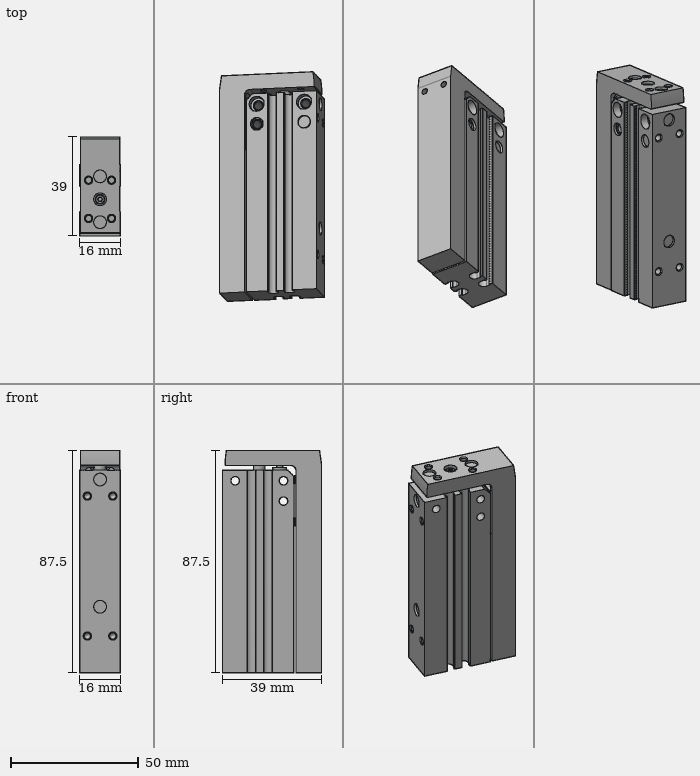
import cadquery as cq
import math


housing_width = 16.0
housing_depth = 28.1
housing_height = 79.7
housing_top_chamfer = 2.4
table_width = 15.5
table_back = 39.0
table_height = 87.5

table_inner_face = 28.9
arm_thickness = 6.0
arm_underside = table_height - arm_thickness
arm_front = 1.0
arm_front_setback = 0.5
arm_edge_chamfer = 0.25
back_bevel_depth = 0.8
back_bevel_height = 5.5
inner_fillet = 2.2
guide_pocket_width = 12.7
guide_pocket_depth = 2.1
guide_pocket_top = 80.8
guide_pocket_chamfer = 2.0
through_hole_x = 4.5
through_hole_diameter = 2.46
through_hole_z = 79.35

tapped_diameter = 2.46
tapped_mouth_diameter = 3.24
tapped_depth = 5.0
drill_point_angle = 118.0
housing_tapped_x = 5.0
housing_tapped_z = (14.5, 69.5)
arm_tapped_x = 4.5
arm_tapped_y = (7.0, 22.0)

recess_diameter = 5.0
recess_depth = 1.0
housing_recess_z = (26.0, 76.0)
arm_recess_y = (5.5, 23.5)

rod_y = 14.5
rod_diameter = 4.6
screw_counterbore_depth = 1.5
screw_head_diameter = 3.8
screw_head_height = 0.7
screw_head_chamfer = 0.25
socket_corner_diameter = 2.01
socket_depth = 0.5
socket_pilot_diameter = 1.57
socket_pilot_depth = 0.3
stopper_y = 22.5
stopper_diameter = 5.5
stopper_height = 1.1
stopper_neck_diameter = 2.46

rear_hole_y = 24.0
front_hole_y = 5.0
upper_hole_z = 75.5
lower_hole_z = 67.5
counterbore_diameter = 6.0
counterbore_depth = 3.3
port_depth = 1.0
side_hole_diameter = 3.24
side_hole_mouth_diameter = 4.0

groove_y = (11.4, 17.9)
groove_bore_diameter = 4.0
groove_neck_depth = 1.5
groove_arc_inset = 3.1
groove_opening = 3.1
groove_lip_chamfer = 0.28
rib_setback = 0.35

guide_width = guide_pocket_width
guide_back = table_inner_face + guide_pocket_depth
guide_bottom = 57.8
guide_top = 77.5
guide_cap_height = 3.2
guide_cap_gap = 0.3


def cylinder(diameter, start, direction, length):
    solid = cq.Solid.makeCylinder(diameter / 2, length, cq.Vector(*start), cq.Vector(*direction))
    return cq.Workplane(solid)


def cone(start_diameter, end_diameter, start, direction, length):
    radii = (start_diameter / 2, end_diameter / 2)
    solid = cq.Solid.makeCone(*radii, length, cq.Vector(*start), cq.Vector(*direction))
    return cq.Workplane(solid)


def box(x_range, y_range, z_range):
    size = [high - low for low, high in (x_range, y_range, z_range)]
    return cq.Workplane().box(*size, centered=False).translate((x_range[0], y_range[0], z_range[0]))


def along(start, direction, distance):
    return tuple(place + step * distance for place, step in zip(start, direction))


def mouth_chamfer(mouth_diameter, bore_diameter, start, direction):
    """45-degree countersink that narrows from the mouth to the bore."""
    return cone(mouth_diameter, bore_diameter, start, direction, (mouth_diameter - bore_diameter) / 2)


def tapped_hole(start, direction):
    """Blind hole with a chamfered mouth and a conical drill point."""
    point_length = tapped_diameter / 2 / math.tan(math.radians(drill_point_angle / 2))
    point_start = along(start, direction, tapped_depth)
    return (
        cylinder(tapped_diameter, start, direction, tapped_depth)
        .union(cone(tapped_diameter, 0, point_start, direction, point_length))
        .union(mouth_chamfer(tapped_mouth_diameter, tapped_diameter, start, direction))
    )


def side_hole(y, z, recess_width, depth):
    """Hole right through the housing with a chamfer at the floor of a counterbore in the -X side."""
    start = (-housing_width / 2, y, z)
    inward = (1, 0, 0)
    floor = along(start, inward, depth)
    return (
        cylinder(side_hole_diameter, start, inward, housing_width)
        .union(cylinder(recess_width, start, inward, depth))
        .union(mouth_chamfer(side_hole_mouth_diameter, side_hole_diameter, floor, inward))
    )


def sensor_groove(y, side, rib_direction):
    """Slot along Z: a chamfered neck in one side face opens into a wider, round-bottomed bore.

    The lip next to the rib (at +Y or -Y, given by rib_direction) starts from the set-back rib face.
    """
    face = side * housing_width / 2
    neck_x = face - side * groove_neck_depth
    arc_x = face - side * groove_arc_inset
    bore_radius = groove_bore_diameter / 2
    neck_half = groove_opening / 2 * rib_direction
    mouth_half = neck_half + groove_lip_chamfer * rib_direction
    rib_face = face - side * rib_setback
    neck = (
        cq.Workplane()
        .polyline(
            [
                (face, y - mouth_half),
                (face - side * groove_lip_chamfer, y - neck_half),
                (neck_x, y - neck_half),
                (neck_x, y + neck_half),
                (rib_face - side * groove_lip_chamfer, y + neck_half),
                (rib_face, y + mouth_half),
                (face, y + mouth_half),
            ]
        )
        .close()
        .extrude(housing_height)
    )
    bore = box(sorted((neck_x, arc_x)), (y - bore_radius, y + bore_radius), (0, housing_height))
    bottom = cylinder(groove_bore_diameter, (arc_x, y, 0), (0, 0, 1), housing_height)
    return neck.union(bore).union(bottom)


def rib_relief(side):
    """Thin cut that sets the rib between the grooves back from the side face."""
    face = side * housing_width / 2
    x_range = sorted((face, face - side * rib_setback))
    return box(x_range, groove_y, (0, housing_height))


def guide_block():
    """Guide that reaches into the table pocket, with thinner end caps clear of the housing."""
    x_range = (-guide_width / 2, guide_width / 2)
    middle = box(
        x_range,
        (housing_depth, guide_back),
        (guide_bottom + guide_cap_height, guide_top - guide_cap_height),
    )
    caps = box(x_range, (housing_depth + guide_cap_gap, guide_back), (guide_bottom, guide_top))
    return middle.union(caps)


def make_housing():
    x_range = (-housing_width / 2, housing_width / 2)
    housing = box(x_range, (0, housing_depth), (0, housing_height))
    housing = housing.edges(">Y and >Z").chamfer(housing_top_chamfer)

    for side in (-1, 1):
        for y, rib_direction in zip(groove_y, (1, -1)):
            housing = housing.cut(sensor_groove(y, side, rib_direction))
        housing = housing.cut(rib_relief(side))

    for z in housing_recess_z:
        housing = housing.cut(cylinder(recess_diameter, (0, 0, z), (0, 1, 0), recess_depth))
    for z in housing_tapped_z:
        for x in (-housing_tapped_x, housing_tapped_x):
            housing = housing.cut(tapped_hole((x, 0, z), (0, 1, 0)))

    for y in (front_hole_y, rear_hole_y):
        housing = housing.cut(side_hole(y, upper_hole_z, counterbore_diameter, counterbore_depth))
    housing = housing.cut(side_hole(rear_hole_y, lower_hole_z, recess_diameter, port_depth))
    plugged_port = (-housing_width / 2, front_hole_y, lower_hole_z)
    housing = housing.cut(cylinder(recess_diameter, plugged_port, (1, 0, 0), port_depth))

    return housing.union(guide_block())


def table_blank():
    """L-shaped profile with a curved arm end, a bevelled back and a filleted inner corner."""
    end_radius = (arm_thickness**2 + arm_front_setback**2) / (2 * arm_front_setback)
    half_angle = math.asin(arm_thickness / end_radius) / 2
    end_middle = (
        arm_front + end_radius * (1 - math.cos(half_angle)),
        arm_underside + end_radius * math.sin(half_angle),
    )
    profile = (
        cq.Workplane("YZ", origin=(-table_width / 2, 0, 0))
        .moveTo(table_inner_face, 0)
        .lineTo(table_back, 0)
        .lineTo(table_back, table_height - back_bevel_height)
        .lineTo(table_back - back_bevel_depth, table_height)
        .lineTo(arm_front + arm_front_setback, table_height)
        .threePointArc(end_middle, (arm_front, arm_underside))
        .lineTo(table_inner_face - inner_fillet, arm_underside)
        .radiusArc((table_inner_face, arm_underside - inner_fillet), inner_fillet)
        .close()
    )
    blank = profile.extrude(table_width)
    return blank.edges("<Y").chamfer(arm_edge_chamfer)


def rod_and_screw():
    """Piston rod under the arm, and the socket screw head that holds it in the arm's counterbore."""
    seat = table_height - screw_counterbore_depth
    rod = cylinder(rod_diameter, (0, rod_y, housing_height), (0, 0, 1), seat - housing_height)
    head = cylinder(screw_head_diameter, (0, rod_y, seat), (0, 0, 1), screw_head_height)
    head = head.faces(">Z").chamfer(screw_head_chamfer)
    socket_floor = (0, rod_y, seat + screw_head_height - socket_depth)
    socket = (
        cq.Workplane(origin=socket_floor)
        .polygon(6, socket_corner_diameter)
        .extrude(socket_depth)
    )
    pilot = cylinder(socket_pilot_diameter, socket_floor, (0, 0, -1), socket_pilot_depth)
    return rod.union(head).cut(socket).cut(pilot)


def stopper():
    """Round pad on a thin neck under the arm, resting on the housing top."""
    pad_top = housing_height + stopper_height
    pad = cylinder(stopper_diameter, (0, stopper_y, housing_height), (0, 0, 1), stopper_height)
    neck_length = arm_underside - pad_top
    return pad.union(cylinder(stopper_neck_diameter, (0, stopper_y, pad_top), (0, 0, 1), neck_length))


def guide_pocket():
    """Pocket for the guide in the inner face, with chamfered top corners, open through the fillet."""
    pocket = box(
        (-guide_pocket_width / 2, guide_pocket_width / 2),
        (table_inner_face - inner_fillet, guide_back),
        (guide_bottom, guide_pocket_top),
    )
    return pocket.edges("|Y and >Z").chamfer(guide_pocket_chamfer)


def make_table():
    table = table_blank()
    table = table.cut(guide_pocket())

    for x in (-through_hole_x, through_hole_x):
        start = (x, table_inner_face - inner_fillet, through_hole_z)
        length = table_back - start[1]
        table = table.cut(cylinder(through_hole_diameter, start, (0, 1, 0), length))

    down = (0, 0, -1)
    for y in arm_recess_y:
        table = table.cut(cylinder(recess_diameter, (0, y, table_height), down, recess_depth))
    for y in arm_tapped_y:
        for x in (-arm_tapped_x, arm_tapped_x):
            start = (x, y, table_height)
            table = table.cut(cylinder(tapped_diameter, start, down, arm_thickness))
            table = table.cut(mouth_chamfer(tapped_mouth_diameter, tapped_diameter, start, down))

    counterbore_start = (0, rod_y, table_height)
    table = table.cut(cylinder(recess_diameter, counterbore_start, down, screw_counterbore_depth))
    return table.union(rod_and_screw()).union(stopper())


housing = make_housing()
table = make_table()
result = cq.Compound.makeCompound([housing.solids().val(), table.solids().val()])